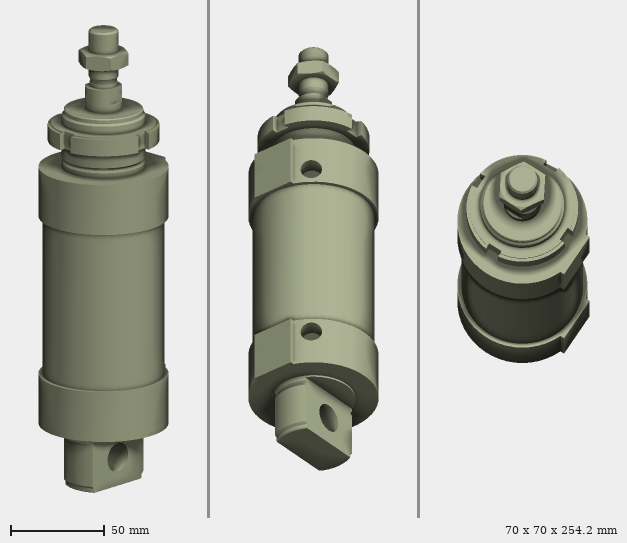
import cadquery as cq
import math

rod_top_z = 254.2
rod_shoulder_z = 222.7
front_face_z = 210.0
front_cap_top_z = 177.2
front_cap_bottom_z = 149.2
rear_cap_bottom_z = 33.0
clevis_top_z = 32.0

cap_diameter = 70.0
cap_height = front_cap_top_z - front_cap_bottom_z
rear_cap_top_z = rear_cap_bottom_z + cap_height
tube_diameter = 65.3
neck_diameter = 45.0
tip_diameter = 42.7
tip_length = 2.5
tip_chamfer = 0.5
neck_step = (neck_diameter - tip_diameter) / 2
groove_floor = 0.5
groove_width = groove_floor + 2 * neck_step
front_groove_z = 181.5
rear_groove_z = 28.7

pad_width = 25.2
port_diameter = 11.5
port_depth = 10.2
port_angle = 127.0
port_edge_distance = 8.1

clevis_thickness = 21.0
clevis_hole_diameter = 16.0
clevis_hole_z = 16.0

rod_diameter = 20.0
rod_bottom_z = front_cap_bottom_z
rod_flat_width = 17.0
rod_flat_height = 8.5
thread_diameter = 16.0
thread_chamfer = 1.0
thread_bottom_z = 228.0
relief_diameter = 14.0
collar_diameter = 15.0
relief_height = 3.0
relief_arc_radius = 5.0
undercut_diameter = 14.5
undercut_height = 0.8

rod_nut_width = 24.0
rod_nut_height = 8.1
rod_nut_bottom_z = 234.0
rod_nut_chamfer_height = 0.8

ring_nut_diameter = 60.0
ring_nut_height = 10.0
ring_nut_bottom_z = 192.0
ring_step_width = 1.8
ring_step_height = 0.8
slot_count = 4
slot_width = 8.0
slot_floor_radius = 26.5


def cylinder(diameter, bottom_z, top_z):
    return cq.Workplane("XY").workplane(offset=bottom_z).circle(diameter / 2).extrude(top_z - bottom_z)


def revolved(profile):
    """Turn a closed (radius, z) outline about the Z axis."""
    return cq.Workplane("XZ").polyline(profile).close().revolve(360, (0, 0), (0, 1))


def neck_groove(middle_z):
    """Ring with sloping flanks that cuts a relief groove into the neck diameter."""
    radius = neck_diameter / 2
    return revolved([
        (radius, middle_z - groove_width / 2),
        (radius - neck_step, middle_z - groove_floor / 2),
        (radius - neck_step, middle_z + groove_floor / 2),
        (radius, middle_z + groove_width / 2),
    ])


def turned_core():
    """Neck, tube and clevis blank, with a reduced tip at both ends."""
    neck_radius = neck_diameter / 2
    tip_radius = tip_diameter / 2
    tube_radius = tube_diameter / 2
    core = revolved([
        (0, 0),
        (tip_radius - tip_chamfer, 0),
        (tip_radius, tip_chamfer),
        (tip_radius, tip_length),
        (neck_radius, tip_length + neck_step),
        (neck_radius, rear_cap_bottom_z),
        (tube_radius, rear_cap_bottom_z),
        (tube_radius, front_cap_top_z),
        (neck_radius, front_cap_top_z),
        (neck_radius, front_face_z - tip_length - neck_step),
        (tip_radius, front_face_z - tip_length),
        (tip_radius, front_face_z - tip_chamfer),
        (tip_radius - tip_chamfer, front_face_z),
        (0, front_face_z),
    ])
    for groove_z in (front_groove_z, rear_groove_z):
        core = core.cut(neck_groove(groove_z))
    return core


def end_cap(bottom_z):
    """Round cap with a flat pad on its +Y side."""
    cap_radius = cap_diameter / 2
    pad = (
        cq.Workplane("XY")
        .workplane(offset=bottom_z)
        .center(0, cap_radius / 2)
        .rect(pad_width, cap_radius)
        .extrude(cap_height)
    )
    return cylinder(cap_diameter, bottom_z, bottom_z + cap_height).union(pad)


def port(middle_z):
    """Blind radial hole in the rounded side of a cap."""
    angle = math.radians(port_angle)
    outward = cq.Vector(math.cos(angle), math.sin(angle), 0)
    floor_centre = outward * (cap_diameter / 2 - port_depth) + cq.Vector(0, 0, middle_z)
    return cq.Workplane(cq.Solid.makeCylinder(port_diameter / 2, 2 * port_depth, floor_centre, outward))


def make_housing():
    housing = turned_core()
    for cap_bottom_z in (rear_cap_bottom_z, front_cap_bottom_z):
        housing = housing.union(end_cap(cap_bottom_z))
    for port_z in (rear_cap_top_z - port_edge_distance, front_cap_bottom_z + port_edge_distance):
        housing = housing.cut(port(port_z))

    for side in (-1, 1):
        flat = (
            cq.Workplane("XY")
            .center(side * (clevis_thickness + neck_diameter) / 2, 0)
            .rect(neck_diameter, 2 * neck_diameter)
            .extrude(clevis_top_z)
        )
        housing = housing.cut(flat)
    cross_hole = (
        cq.Workplane("YZ")
        .center(0, clevis_hole_z)
        .circle(clevis_hole_diameter / 2)
        .extrude(neck_diameter / 2, both=True)
    )
    housing = housing.cut(cross_hole)

    return housing.cut(cylinder(rod_diameter, rod_bottom_z, front_face_z))


def make_rod():
    rod_radius = rod_diameter / 2
    thread_radius = thread_diameter / 2
    collar_radius = collar_diameter / 2
    undercut_radius = undercut_diameter / 2
    undercut_top_z = rod_shoulder_z + undercut_height
    relief_radius = relief_diameter / 2
    relief_bottom_z = thread_bottom_z - relief_height

    rod = (
        cq.Workplane("XZ")
        .moveTo(0, rod_bottom_z)
        .lineTo(rod_radius, rod_bottom_z)
        .lineTo(rod_radius, rod_shoulder_z)
        .lineTo(undercut_radius, rod_shoulder_z)
        .lineTo(undercut_radius, undercut_top_z)
        .lineTo(collar_radius, undercut_top_z)
        .lineTo(collar_radius, relief_bottom_z)
        .lineTo(relief_radius, relief_bottom_z)
        .radiusArc((thread_radius, thread_bottom_z), relief_arc_radius)
        .lineTo(thread_radius, rod_top_z - thread_chamfer)
        .lineTo(thread_radius - thread_chamfer, rod_top_z)
        .lineTo(0, rod_top_z)
        .close()
        .revolve(360, (0, 0), (0, 1))
    )

    for side in (-1, 1):
        flat = (
            cq.Workplane("XY")
            .workplane(offset=rod_shoulder_z - rod_flat_height)
            .center(side * (rod_flat_width + rod_diameter) / 2, 0)
            .rect(rod_diameter, 2 * rod_diameter)
            .extrude(rod_flat_height)
        )
        rod = rod.cut(flat)
    return rod


def make_rod_nut():
    """Hexagonal nut with two flats facing along X and chamfered corners."""
    corner_diameter = rod_nut_width / math.cos(math.radians(30))
    corner_radius = corner_diameter / 2
    chamfer_radius = rod_nut_width / 2
    top_z = rod_nut_bottom_z + rod_nut_height
    hexagon = (
        cq.Workplane("XY")
        .workplane(offset=rod_nut_bottom_z)
        .polygon(6, corner_diameter)
        .extrude(rod_nut_height)
        .rotate((0, 0, 0), (0, 0, 1), 30)
    )
    chamfer_envelope = revolved([
        (0, rod_nut_bottom_z),
        (chamfer_radius, rod_nut_bottom_z),
        (corner_radius, rod_nut_bottom_z + rod_nut_chamfer_height),
        (corner_radius, top_z - rod_nut_chamfer_height),
        (chamfer_radius, top_z),
        (0, top_z),
    ])
    return hexagon.intersect(chamfer_envelope).cut(cylinder(thread_diameter, rod_nut_bottom_z, top_z))


def make_ring_nut():
    """Round nut with a stepped upper rim and wrench slots around it."""
    outer_radius = ring_nut_diameter / 2
    inner_radius = neck_diameter / 2
    top_z = ring_nut_bottom_z + ring_nut_height
    nut = revolved([
        (inner_radius, ring_nut_bottom_z),
        (outer_radius, ring_nut_bottom_z),
        (outer_radius, top_z - ring_step_height),
        (outer_radius - ring_step_width, top_z - ring_step_height),
        (outer_radius - ring_step_width, top_z),
        (inner_radius, top_z),
    ])
    slot_length = outer_radius - slot_floor_radius
    slot = (
        cq.Workplane("XY")
        .workplane(offset=ring_nut_bottom_z)
        .center(slot_floor_radius + slot_length, 0)
        .rect(2 * slot_length, slot_width)
        .extrude(ring_nut_height)
    )
    for index in range(slot_count):
        nut = nut.cut(slot.rotate((0, 0, 0), (0, 0, 1), index * 360 / slot_count))
    return nut


housing = make_housing()
rod = make_rod()
rod_nut = make_rod_nut()
ring_nut = make_ring_nut()

result = cq.Compound.makeCompound([housing.val(), rod.val(), rod_nut.val(), ring_nut.val()])